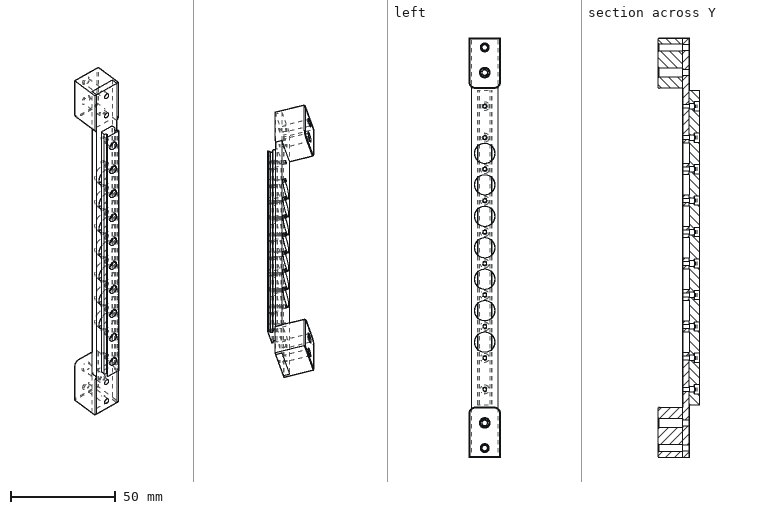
import cadquery as cq

length = 200.0

block_depth = 15.0
block_width = 15.0
block_height = 24.0
block_corner_radius = 3.0
block_edge_chamfer = 0.5

mounting_hole_spacing = 12.0
screw_hole_inset = block_height - block_width / 2
pin_hole_inset = screw_hole_inset - mounting_hole_spacing
pin_hole_diameter = 3.2
pin_countersink_diameter = 4.2
screw_hole_diameter = 4.0
screw_countersink_diameter = 5.0

plate_thickness = 3.2
plate_width = 12.8
plate_front = block_depth - plate_thickness
window_diameter = 9.5
window_count = 7
rail_screw_hole_diameter = 1.5
plate_mounting_hole_diameter = 2.5

rail_length = 150.0
rail_width = 7.0
rail_height = 4.8
rail_base_chamfer = 0.2
groove_depth = 1.0
groove_center = 3.2
groove_opening = 2.0
groove_floor = 0.8
rail_hole_pitch = 15.0
rail_hole_count = 10
rail_hole_diameter = 2.5
rail_counterbore_diameter = 4.2
rail_counterbore_depth = 2.5


def bore(diameter, x_start, depth, z_centers):
    """Cylinders along +X, centred on Y = 0, at each height."""
    return (
        cq.Workplane("YZ", origin=(x_start, 0, 0))
        .pushPoints([(0, z) for z in z_centers])
        .circle(diameter / 2)
        .extrude(depth)
    )


def centered_heights(count, pitch):
    """Evenly spaced heights about the middle of the bar."""
    first = length / 2 - pitch * (count - 1) / 2
    return [first + pitch * i for i in range(count)]


def countersink(diameter, hole_diameter, z_center):
    """90 degree cone from the front face of a block down to its hole."""
    depth = (diameter - hole_diameter) / 2
    return cq.Workplane(
        cq.Solid.makeCone(
            diameter / 2,
            hole_diameter / 2,
            depth,
            cq.Vector(0, 0, z_center),
            cq.Vector(1, 0, 0),
        )
    )


def flip_to_top(body):
    return body.mirror("XY", (0, 0, length / 2))


def make_lower_block():
    block = cq.Workplane("XY").box(
        block_depth, block_width, block_height, centered=(False, True, False)
    )
    block = block.edges("|X and >Z").fillet(block_corner_radius)
    block = block.faces("<X").edges().chamfer(block_edge_chamfer)
    recess = cq.Workplane("XY", origin=(plate_front, 0, 0)).box(
        plate_thickness, plate_width, block_height, centered=(False, True, False)
    )
    block = block.cut(recess)
    block = block.cut(bore(pin_hole_diameter, 0, block_depth, [pin_hole_inset]))
    block = block.cut(bore(screw_hole_diameter, 0, block_depth, [screw_hole_inset]))
    block = block.cut(countersink(pin_countersink_diameter, pin_hole_diameter, pin_hole_inset))
    return block.cut(
        countersink(screw_countersink_diameter, screw_hole_diameter, screw_hole_inset)
    )


def make_plate():
    plate = cq.Workplane("XY", origin=(plate_front, 0, 0)).box(
        plate_thickness, plate_width, length, centered=(False, True, False)
    )
    windows = centered_heights(window_count, rail_hole_pitch)
    screws = centered_heights(rail_hole_count, rail_hole_pitch)
    lower_holes = [pin_hole_inset, screw_hole_inset]
    upper_holes = [length - z for z in lower_holes]
    plate = plate.cut(bore(window_diameter, plate_front, plate_thickness, windows))
    plate = plate.cut(bore(rail_screw_hole_diameter, plate_front, plate_thickness, screws))
    return plate.cut(
        bore(plate_mounting_hole_diameter, plate_front, plate_thickness, lower_holes + upper_holes)
    )


def make_rail():
    half = rail_width / 2
    one_side = [
        (0, half - rail_base_chamfer),
        (rail_base_chamfer, half),
        (groove_center - groove_opening / 2, half),
        (groove_center - groove_floor / 2, half - groove_depth),
        (groove_center + groove_floor / 2, half - groove_depth),
        (groove_center + groove_opening / 2, half),
        (rail_height, half),
    ]
    other_side = [(x, -y) for x, y in reversed(one_side)]
    rail = (
        cq.Workplane("XY", origin=(block_depth, 0, (length - rail_length) / 2))
        .polyline(one_side + other_side)
        .close()
        .extrude(rail_length)
    )
    heights = centered_heights(rail_hole_count, rail_hole_pitch)
    rail = rail.cut(bore(rail_hole_diameter, block_depth, rail_height, heights))
    counterbore_start = block_depth + rail_height - rail_counterbore_depth
    return rail.cut(
        bore(rail_counterbore_diameter, counterbore_start, rail_counterbore_depth, heights)
    )


lower_block = make_lower_block()
upper_block = flip_to_top(lower_block)
plate = make_plate()
rail = make_rail()

result = cq.Compound.makeCompound(
    [lower_block.val(), upper_block.val(), plate.val(), rail.val()]
)